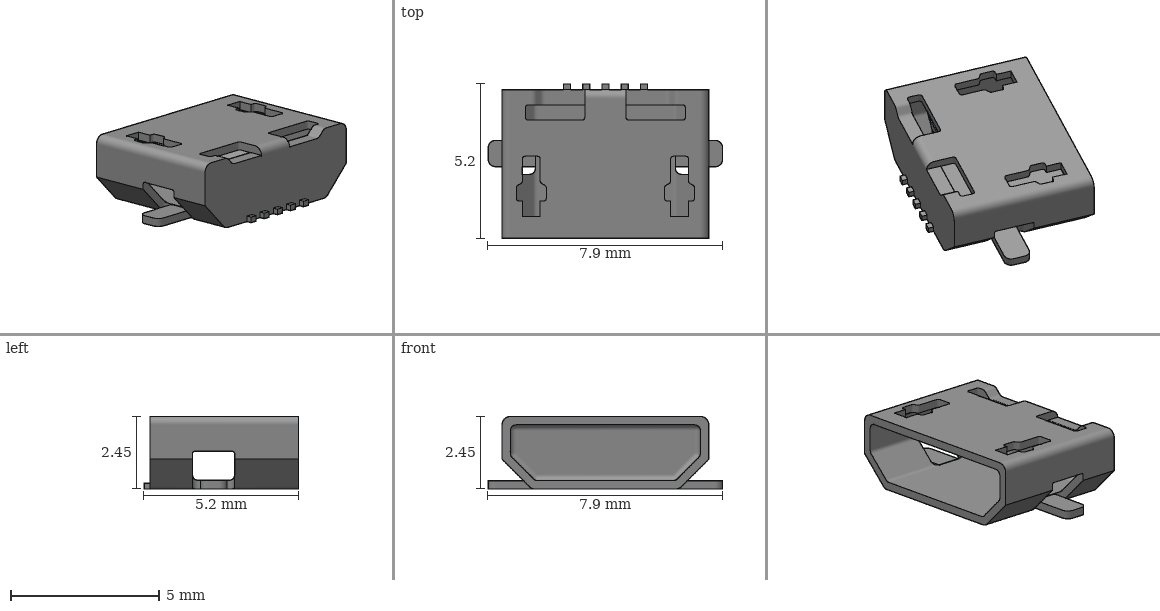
import cadquery as cq

shell_width = 6.97
shell_depth = 5.01
shell_height = 2.45
wall = 0.285
half_width = shell_width / 2
lower_bevel = 1.0
outer_radius = 0.29
inner_radius = 0.2

tongue_half_width = 0.695
tongue_edge_radius = 0.31
flap_drop = 0.28
flap_length = 0.51
ramp_mid_x = 2.25
flap_bend_radius = 0.22
slot_outer_x = 2.69
slot_length = 0.51
slot_radius = 0.095

latch_center_x = 2.5
latch_narrow_half = 0.3
latch_wide_half = 0.505
latch_front_y = 0.735
latch_back_y = 2.765
latch_wide_front_y = 1.26
latch_wide_back_y = 1.75
latch_neck_y = 1.88
latch_radius = 0.095

window_front_y = 2.16
window_back_y = 3.57
window_top = 1.265
window_inner_x = 2.36
window_top_radius = 0.07
window_root_radius = 0.2
tab_span = 7.9
tab_front_y = 2.41
tab_back_y = 3.3
tab_radius = 0.25

pin_count = 5
pin_pitch = 0.65
pin_width = 0.245
pin_height = 0.2
pin_length = 0.19


def box(x_range, y_range, z_range):
    """Axis-aligned box between the given limits."""
    size = [high - low for low, high in (x_range, y_range, z_range)]
    corner = cq.Vector(x_range[0], y_range[0], z_range[0])
    return cq.Workplane(cq.Solid.makeBox(*size, corner))


def mirrored(body):
    """The body together with its mirror image across the YZ plane."""
    return body.union(body.mirror("YZ"))


def housing_profile():
    """Hexagonal outline of the housing, on the XZ plane."""
    base_half = half_width - lower_bevel
    return cq.Workplane("XZ").polyline([
        (-base_half, 0),
        (base_half, 0),
        (half_width, lower_bevel),
        (half_width, shell_height),
        (-half_width, shell_height),
        (-half_width, lower_bevel),
    ]).close()


def make_shell():
    """Housing with rounded roof and base corners and a blind cavity, filleted at its end."""
    outside = housing_profile().extrude(-shell_depth)
    outside = outside.edges("|Y and (>Z or <Z)").fillet(outer_radius)
    cavity = housing_profile().offset2D(-wall, "intersection").extrude(wall - shell_depth)
    cavity = cavity.edges("|Y").fillet(inner_radius)
    cavity = cavity.faces(">Y").edges().fillet(inner_radius)
    return outside.cut(cavity)


def round_tongue(shell):
    """Round the back roof edge over the centre tongue."""
    y_start = shell_depth - tongue_edge_radius
    z_start = shell_height - tongue_edge_radius
    x_range = (-tongue_half_width, tongue_half_width)
    corner = box(x_range, (y_start, shell_depth), (z_start, shell_height))
    round_bar = (
        cq.Workplane("YZ", origin=(-tongue_half_width, y_start, z_start))
        .circle(tongue_edge_radius)
        .extrude(2 * tongue_half_width)
    )
    return shell.cut(corner.cut(round_bar))


def flap_recess():
    """Material removed above one flap, with its bent ramp, plus the slot in front of it."""
    ramp_low = ramp_mid_x - flap_drop / 2
    ramp_high = ramp_mid_x + flap_drop / 2
    floor_z = shell_height - flap_drop
    above = shell_height + wall
    beyond = ramp_high + wall
    recess = (
        cq.Workplane("XZ", origin=(0, shell_depth, 0))
        .polyline([
            (tongue_half_width, floor_z),
            (ramp_low, floor_z),
            (ramp_high, shell_height),
            (beyond, shell_height),
            (beyond, above),
            (tongue_half_width, above),
        ])
        .close()
        .extrude(flap_length)
    )
    middle_y = shell_depth - flap_length / 2
    for x, z in ((ramp_low, floor_z), (ramp_high, shell_height)):
        bend_edge = cq.selectors.NearestToPointSelector((x, middle_y, z))
        recess = recess.edges(bend_edge).fillet(flap_bend_radius)

    slot_back = shell_depth - flap_length
    slot_front = slot_back - slot_length
    slot_z = (shell_height - wall - inner_radius, above)
    slot = box((tongue_half_width, slot_outer_x), (slot_front, slot_back), slot_z)
    slot = slot.edges("|Z and (<Y or >X)").fillet(slot_radius)
    return recess.union(slot)


def latch_opening():
    """Cut through the roof on one side: outline with a tapered neck, plus a square front leg."""
    outline = [
        (-latch_narrow_half, latch_back_y),
        (-latch_narrow_half, latch_neck_y),
        (-latch_wide_half, latch_wide_back_y),
        (-latch_wide_half, latch_wide_front_y),
        (latch_wide_half, latch_wide_front_y),
        (latch_wide_half, latch_wide_back_y),
        (latch_narrow_half, latch_neck_y),
        (latch_narrow_half, latch_back_y),
    ]
    start_z = shell_height - wall - inner_radius
    opening = (
        cq.Workplane("XY", origin=(latch_center_x, 0, start_z))
        .polyline(outline)
        .close()
        .extrude(shell_height - start_z)
        .edges("|Z")
        .fillet(latch_radius)
    )
    narrow_x = (latch_center_x - latch_narrow_half, latch_center_x + latch_narrow_half)
    front_leg = box(narrow_x, (latch_front_y, latch_wide_back_y), (start_z, shell_height))
    return opening.union(front_leg)


def side_window():
    """Cut through one side wall and its lower bevel."""
    x_range = (window_inner_x, half_width + wall)
    window = box(x_range, (window_front_y, window_back_y), (-wall, window_top))
    window = window.edges("|X and >Z").fillet(window_top_radius)
    return window.edges("|Z and <X").fillet(window_root_radius)


def solder_tab():
    """Flat tab at base level, rooted in the floor of the housing."""
    root_x = window_inner_x - wall
    tab = box((root_x, tab_span / 2), (tab_front_y, tab_back_y), (0, wall))
    return tab.edges("|Z and >X").fillet(tab_radius)


def contact_pins():
    """Row of pins along the bottom of the back wall."""
    y_range = (shell_depth - wall, shell_depth + pin_length)
    pins = cq.Workplane()
    for index in range(pin_count):
        x = (index - (pin_count - 1) / 2) * pin_pitch
        pin = box((x - pin_width / 2, x + pin_width / 2), y_range, (0, pin_height))
        pins = pins.add(pin)
    return pins.combine()


result = round_tongue(make_shell())
result = result.cut(mirrored(flap_recess()))
result = result.cut(mirrored(latch_opening()))
result = result.cut(mirrored(side_window()))
result = result.union(mirrored(solder_tab()))
result = result.union(contact_pins())